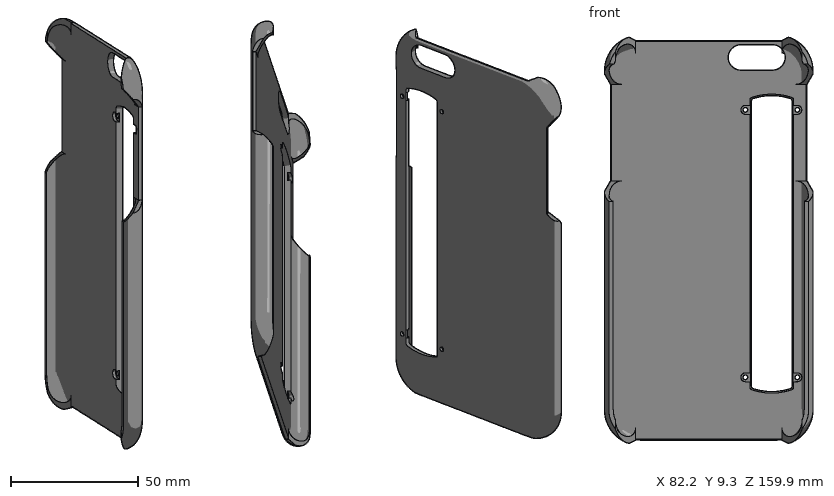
import cadquery as cq
import math

case_width = 82.2
outline_length = 161.5
case_depth = 9.3
floor_thickness = 2.5
corner_radius = 14.2

outer_radius = 5.8
inner_radius = 4.8
wall_thickness = 1.9
lip_outer_inset = 1.8
lip_inner_inset = 3.5

end_edge_inset = 2.0
side_edge_inset = 2.4
plate_edge_draft = 0.5
wall_end_flare = 8.0
end_opening_half_width = 28.8
trim_flare = 4.2
side_opening_bottom = 23.3
side_opening_top = 61.4

camera_x = 18.9
camera_z = 72.0
camera_length = 22.4
camera_height = 9.9

window_left = 16.2
window_right = 33.5
window_top = 57.5
window_bottom = -60.1
window_bow = 1.6
window_corner_radius = 1.3
window_draft = 0.6

screw_hole_diameter = 1.8
screw_head_diameter = 3.5
screw_head_depth = 1.3
screw_x = (14.4, 34.9)
screw_z = (51.3, -53.9)

half_width = case_width / 2
back_y = case_depth / 2
lip_y = -case_depth / 2
floor_y = back_y - floor_thickness
widest_y = back_y - outer_radius
inside_widest_y = floor_y - inner_radius
floor_inset = wall_thickness + inner_radius
half_outline = outline_length / 2
end_edge = half_outline - end_edge_inset
side_edge = half_width - side_edge_inset
window_middle_x = (window_left + window_right) / 2
window_taper = math.degrees(math.atan2(window_draft, floor_thickness))


def arc_middle(widest, end):
    """Middle point of an arc that starts along Y at the widest point and curves in to end."""
    inset = end[0] - widest[0]
    rise = end[1] - widest[1]
    chord = math.hypot(inset, rise)
    radius = chord**2 / (2 * inset)
    sagitta = radius - math.sqrt(radius**2 - (chord / 2) ** 2)
    shift_x = -abs(rise) * sagitta / chord
    shift_y = math.copysign(inset, rise) * sagitta / chord
    return ((widest[0] + end[0]) / 2 + shift_x, (widest[1] + end[1]) / 2 + shift_y)


def wall_section():
    """Closed wall section in the XY plane at the -X side, with its floor strip."""
    def at(inset, y):
        return (inset - half_width, y)

    back_edge = at(outer_radius, back_y)
    widest = at(0, widest_y)
    lip_outer = at(lip_outer_inset, lip_y)
    lip_inner = at(lip_inner_inset, lip_y)
    inside_widest = at(wall_thickness, inside_widest_y)
    floor_edge = at(floor_inset, floor_y)

    return (
        cq.Workplane("XY")
        .moveTo(*at(floor_inset, back_y))
        .lineTo(*back_edge)
        .threePointArc(arc_middle(widest, back_edge), widest)
        .threePointArc(arc_middle(widest, lip_outer), lip_outer)
        .lineTo(*lip_inner)
        .threePointArc(arc_middle(inside_widest, lip_inner), inside_widest)
        .threePointArc(arc_middle(inside_widest, floor_edge), floor_edge)
        .close()
    )


def wall_ring():
    """The wall section carried once around the rounded outline."""
    straight_x = half_width - corner_radius
    straight_z = half_outline - corner_radius
    diagonal = corner_radius * math.sqrt(0.5)

    def corner(path, x_sign, z_sign, end):
        middle = (x_sign * (straight_x + diagonal), z_sign * (straight_z + diagonal))
        return path.threePointArc(middle, end)

    path = cq.Workplane("XZ", origin=(0, back_y, 0)).moveTo(-half_width, 0)
    path = path.lineTo(-half_width, straight_z)
    path = corner(path, -1, 1, (-straight_x, half_outline)).lineTo(straight_x, half_outline)
    path = corner(path, 1, 1, (half_width, straight_z)).lineTo(half_width, -straight_z)
    path = corner(path, 1, -1, (straight_x, -half_outline)).lineTo(-straight_x, -half_outline)
    path = corner(path, -1, -1, (-half_width, -straight_z)).close()
    return wall_section().sweep(path)


def floor_plate():
    """Flat back inside the wall's floor strip."""
    return (
        cq.Workplane("XZ", origin=(0, back_y, 0))
        .rect(case_width - 2 * floor_inset, 2 * (half_outline - floor_inset))
        .extrude(floor_thickness)
        .edges("|Y")
        .fillet(corner_radius - floor_inset)
    )


def flared_opening(plane, low, high, reach):
    """Cutter for a wall opening that widens from the floor to the lip."""
    return (
        cq.Workplane(plane)
        .moveTo(low, floor_y)
        .lineTo(high, floor_y)
        .lineTo(high + wall_end_flare, lip_y)
        .lineTo(low - wall_end_flare, lip_y)
        .close()
        .extrude(reach, both=True)
    )


def edge_trim(low, high, edge, outline):
    """Outline, as (along, outward) points, of the strip trimmed off the floor edge.

    The strip reaches from the floor edge out to the outline and widens on the way,
    so the wall starts again with a slanted end.
    """
    return [
        (low, edge),
        (high, edge),
        (high + trim_flare, outline),
        (low - trim_flare, outline),
    ]


def cut_through(body, points):
    """Cut a polygon of (x, z) points through the whole depth."""
    cutter = cq.Workplane("XZ", origin=(0, back_y, 0)).polyline(points).close().extrude(case_depth)
    return body.cut(cutter)


def draft_wedge(plane, edge, sign, low, high):
    """Cutter that slopes a trimmed plate edge inward toward the floor.

    The plane has the outward direction and Y as its axes; the wedge runs from low to high
    along the edge.
    """
    return (
        cq.Workplane(plane)
        .workplane(offset=low)
        .moveTo(sign * edge, back_y - floor_thickness / 2)
        .lineTo(sign * edge, floor_y)
        .lineTo(sign * (edge - plate_edge_draft), floor_y)
        .close()
        .extrude(high - low)
    )


def cut_wall_openings(body):
    """Open the wall at both ends and on both sides, and trim the floor edge there."""
    end_span = (-end_opening_half_width, end_opening_half_width)
    side_span = (side_opening_bottom, side_opening_top)
    body = body.cut(flared_opening("XY", *end_span, outline_length))
    body = body.cut(flared_opening("ZY", *side_span, case_width))
    end_trim = edge_trim(*end_span, end_edge, half_outline)
    side_trim = edge_trim(*side_span, side_edge, half_width)
    for sign in (-1, 1):
        body = cut_through(body, [(along, sign * outward) for along, outward in end_trim])
        body = cut_through(body, [(sign * outward, along) for along, outward in side_trim])
        body = body.cut(draft_wedge("ZY", end_edge, sign, *end_span))
        body = body.cut(draft_wedge("XY", side_edge, sign, *side_span))
    return body


def camera_window():
    """Round-ended slot through the floor."""
    return (
        cq.Workplane("XZ", origin=(0, back_y, 0))
        .center(camera_x, camera_z)
        .slot2D(camera_length, camera_height)
        .extrude(floor_thickness)
    )


def long_window():
    """Window cutter with bowed ends, widest at the floor and narrower at the back."""
    return (
        cq.Workplane("ZX", origin=(0, floor_y, 0))
        .moveTo(window_bottom + window_bow, window_left)
        .lineTo(window_top - window_bow, window_left)
        .threePointArc((window_top, window_middle_x), (window_top - window_bow, window_right))
        .lineTo(window_bottom + window_bow, window_right)
        .threePointArc((window_bottom, window_middle_x), (window_bottom + window_bow, window_left))
        .close()
        .extrude(floor_thickness, taper=window_taper)
        .faces("<X or >X")
        .edges("not |Z")
        .fillet(window_corner_radius)
    )


def screw_seat(x, z):
    """Through hole with a round head recess that runs out into the long window."""
    hole = (
        cq.Workplane("ZX", origin=(0, floor_y, 0))
        .center(z, x)
        .circle(screw_hole_diameter / 2)
        .extrude(floor_thickness)
    )
    head = (
        cq.Workplane("ZX", origin=(0, lip_y, 0))
        .center(z, x)
        .circle(screw_head_diameter / 2)
        .extrude(floor_y + screw_head_depth - lip_y)
    )
    runout = (
        cq.Workplane("ZX", origin=(0, floor_y, 0))
        .center(z, (x + window_middle_x) / 2)
        .rect(screw_head_diameter, abs(window_middle_x - x))
        .extrude(screw_head_depth)
    )
    return hole.union(head).union(runout)


result = cut_wall_openings(wall_ring().union(floor_plate()))
result = result.cut(camera_window()).cut(long_window())
for hole_x in screw_x:
    for hole_z in screw_z:
        result = result.cut(screw_seat(hole_x, hole_z))